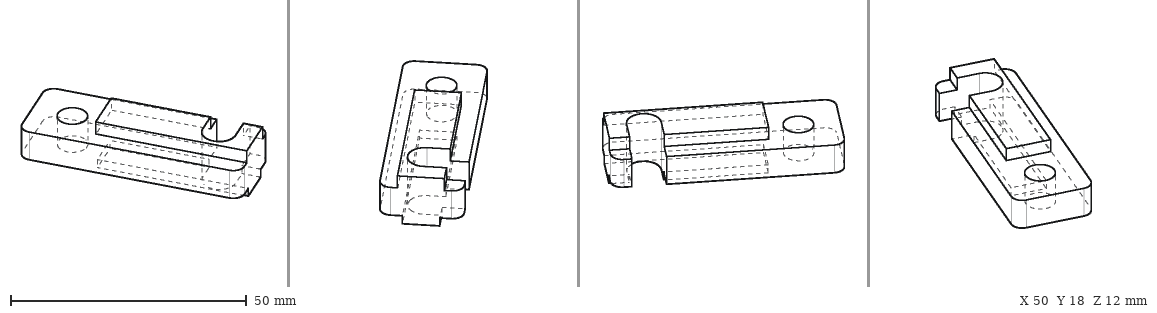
import cadquery as cq

plate_length = 50.0
plate_width = 18.0
plate_thickness = 7.0
corner_radius = 2.5

rib_length = 34.0
top_rib_width = 10.0
top_rib_height = 3.0
bottom_rib_width = 8.0
bottom_rib_height = 2.0

hole_diameter = 6.5
hole_from_end = 9.0

slot_width = 7.4
slot_from_end = 8.0

plate_bottom = bottom_rib_height
plate_top = plate_bottom + plate_thickness
total_height = plate_top + top_rib_height

end_x = plate_length / 2
rib_x = end_x - rib_length / 2
hole_x = -end_x + hole_from_end
slot_x = end_x - slot_from_end


def make_plate():
    """Plate with rounded vertical corners."""
    return (
        cq.Workplane("XY")
        .workplane(offset=plate_bottom)
        .rect(plate_length, plate_width)
        .extrude(plate_thickness)
        .edges("|Z")
        .fillet(corner_radius)
    )


def make_rib(width, height, base_z):
    """Rectangular rib along X, standing on the height base_z."""
    return cq.Workplane("XY").workplane(offset=base_z).center(rib_x, 0).rect(rib_length, width).extrude(height)


def make_hole():
    """Cutter for the through hole."""
    return cq.Workplane("XY").center(hole_x, 0).circle(hole_diameter / 2).extrude(total_height)


def make_slot():
    """Cutter for the through slot: a round end on the centreline, open at the +Y side."""
    radius = slot_width / 2
    open_y = plate_width / 2
    return (
        cq.Workplane("XY")
        .moveTo(slot_x - radius, open_y)
        .lineTo(slot_x - radius, 0)
        .threePointArc((slot_x, -radius), (slot_x + radius, 0))
        .lineTo(slot_x + radius, open_y)
        .close()
        .extrude(total_height)
    )


top_rib = make_rib(top_rib_width, top_rib_height, plate_top)
bottom_rib = make_rib(bottom_rib_width, bottom_rib_height, 0)

result = make_plate().union(top_rib).union(bottom_rib).cut(make_hole()).cut(make_slot())